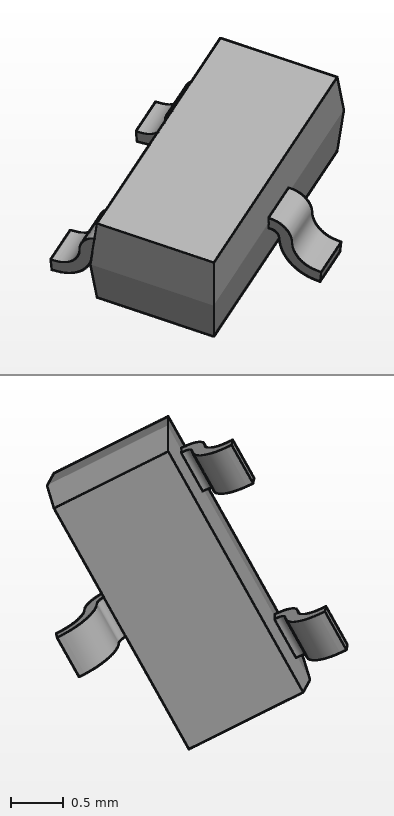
import cadquery as cq
import math

BODY_X = 1.3
BODY_Y = 2.9
BODY_BOTTOM_Z = 0.06
BODY_TOP_Z = 1.06
PARTING_Z = (BODY_BOTTOM_Z + BODY_TOP_Z) / 2
TAPER_X = 0.035
TAPER_Y = 0.075

LEAD_SPAN = 2.4
LEAD_THICKNESS = 0.135
LEAD_PITCH = 1.9
PAIR_LEAD_WIDTH = 0.44
SINGLE_LEAD_WIDTH = 0.45
FOOT_LENGTH = 0.065
FOOT_TILT = math.radians(5)
SHOULDER_RADIUS = 0.225
LEAD_EMBED = 0.2


def body_half(outer_z):
    """Frustum from the parting plane to the flat face at outer_z."""
    return (
        cq.Workplane("XY", origin=(0, 0, PARTING_Z))
        .rect(BODY_X, BODY_Y)
        .workplane(offset=outer_z - PARTING_Z)
        .rect(BODY_X - 2 * TAPER_X, BODY_Y - 2 * TAPER_Y)
        .loft(ruled=True)
    )


def polar(center, radius, angle):
    """Point on a circle, with the angle measured from the first axis."""
    return center[0] + radius * math.cos(angle), center[1] + radius * math.sin(angle)


def lead(side, y_center, width):
    """S-bent lead; side is +1 or -1 for the X direction it points in."""
    sin_tilt = math.sin(FOOT_TILT)
    cos_tilt = math.cos(FOOT_TILT)
    top_z = PARTING_Z + LEAD_THICKNESS / 2
    bend_z = top_z - SHOULDER_RADIUS
    shoulder_inner = SHOULDER_RADIUS - LEAD_THICKNESS

    tip_top = (LEAD_SPAN / 2, LEAD_THICKNESS * cos_tilt)
    tip_bottom = (tip_top[0] - LEAD_THICKNESS * sin_tilt, 0)
    foot_top = (tip_top[0] - FOOT_LENGTH * cos_tilt, tip_top[1] + FOOT_LENGTH * sin_tilt)

    foot_inner = (bend_z - foot_top[1]) / cos_tilt
    foot_outer = foot_inner + LEAD_THICKNESS
    foot_center = (foot_top[0] + foot_inner * sin_tilt, bend_z)
    shoulder_center = (foot_center[0] - foot_inner - SHOULDER_RADIUS, bend_z)
    root_x = BODY_X / 2 - LEAD_EMBED

    shoulder_middle = math.pi / 4
    foot_start = math.pi
    foot_end = 1.5 * math.pi - FOOT_TILT
    foot_middle = (foot_start + foot_end) / 2

    def place(point):
        return side * point[0], point[1]

    profile = (
        cq.Workplane("XZ", origin=(0, y_center, 0))
        .moveTo(*place((root_x, top_z)))
        .lineTo(*place((shoulder_center[0], top_z)))
        .threePointArc(
            place(polar(shoulder_center, SHOULDER_RADIUS, shoulder_middle)),
            place(polar(shoulder_center, SHOULDER_RADIUS, 0)),
        )
        .threePointArc(
            place(polar(foot_center, foot_inner, foot_middle)),
            place(foot_top),
        )
        .lineTo(*place(tip_top))
        .lineTo(*place(tip_bottom))
        .lineTo(*place(polar(foot_center, foot_outer, foot_end)))
        .threePointArc(
            place(polar(foot_center, foot_outer, foot_middle)),
            place(polar(foot_center, foot_outer, foot_start)),
        )
        .threePointArc(
            place(polar(shoulder_center, shoulder_inner, shoulder_middle)),
            place((shoulder_center[0], top_z - LEAD_THICKNESS)),
        )
        .lineTo(*place((root_x, top_z - LEAD_THICKNESS)))
        .close()
    )
    return profile.extrude(width / 2, both=True)


result = body_half(BODY_TOP_Z).union(body_half(BODY_BOTTOM_Z))
for lead_y in (-LEAD_PITCH / 2, LEAD_PITCH / 2):
    result = result.union(lead(-1, lead_y, PAIR_LEAD_WIDTH))
result = result.union(lead(1, 0, SINGLE_LEAD_WIDTH))